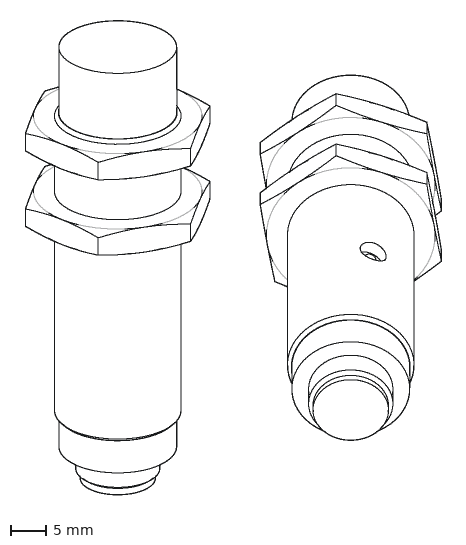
import cadquery as cq
import math

length = 68.5
cap_diameter = 16.8
barrel_diameter = 18.0
barrel_end_diameter = 16.9

plug_diameter = 12.0
plug_tip_diameter = 10.75
plug_tip_top = 1.0
plug_bevel_top = 1.5
plug_top = 5.0

barrel_bottom = 10.15
barrel_top = 58.1
barrel_chamfer = (barrel_diameter - barrel_end_diameter) / 2

window_diameter = 4.0
window_depth = 1.85
window_height = 26.5
lamp_diameter = 2.0

nut_flat_width = 24.0
nut_thickness = 4.0
nut_bottoms = (41.6, 53.6)
nut_bevel_angle = 18.0
hexagon_turn = 30.0


def revolve_profile(points):
    """Turn a closed (radius, height) outline about the Z axis."""
    return cq.Workplane("XZ").polyline(points).close().revolve(360, (0, 0), (0, 1))


def make_sensor():
    """Turned sensor body with a domed lamp in a round window."""
    cap_radius = cap_diameter / 2
    barrel_radius = barrel_diameter / 2
    barrel_end_radius = barrel_end_diameter / 2
    plug_radius = plug_diameter / 2
    body = revolve_profile([
        (0, 0),
        (plug_tip_diameter / 2, 0),
        (plug_tip_diameter / 2, plug_tip_top),
        (plug_radius, plug_bevel_top),
        (plug_radius, plug_top),
        (cap_radius, plug_top),
        (cap_radius, barrel_bottom),
        (barrel_end_radius, barrel_bottom),
        (barrel_radius, barrel_bottom + barrel_chamfer),
        (barrel_radius, barrel_top - barrel_chamfer),
        (barrel_end_radius, barrel_top),
        (cap_radius, barrel_top),
        (cap_radius, length),
        (0, length),
    ])
    floor_x = window_depth - barrel_radius
    window = (
        cq.Workplane("YZ", origin=(floor_x, 0, window_height))
        .circle(window_diameter / 2)
        .extrude(-2 * window_depth)
    )
    lamp = cq.Workplane("XY").sphere(lamp_diameter / 2).translate((floor_x, 0, window_height))
    return body.cut(window).union(lamp)


def make_nut(bottom):
    """Hexagon nut with both faces bevelled and a plain bore that fits the barrel."""
    corner_radius = nut_flat_width / math.sqrt(3)
    face_radius = nut_flat_width / 2
    bevel_height = (corner_radius - face_radius) * math.tan(math.radians(nut_bevel_angle))
    hexagon = (
        cq.Workplane("XY")
        .polygon(6, 2 * corner_radius)
        .extrude(nut_thickness)
        .rotate((0, 0, 0), (0, 0, 1), hexagon_turn)
    )
    bevelled_disc = revolve_profile([
        (0, 0),
        (face_radius, 0),
        (corner_radius, bevel_height),
        (corner_radius, nut_thickness - bevel_height),
        (face_radius, nut_thickness),
        (0, nut_thickness),
    ])
    bore = cq.Workplane("XY").circle(barrel_diameter / 2).extrude(nut_thickness)
    return hexagon.intersect(bevelled_disc).cut(bore).translate((0, 0, bottom))


sensor = make_sensor()
nuts = [make_nut(bottom) for bottom in nut_bottoms]

result = cq.Compound.makeCompound([sensor.val(), *[nut.val() for nut in nuts]])